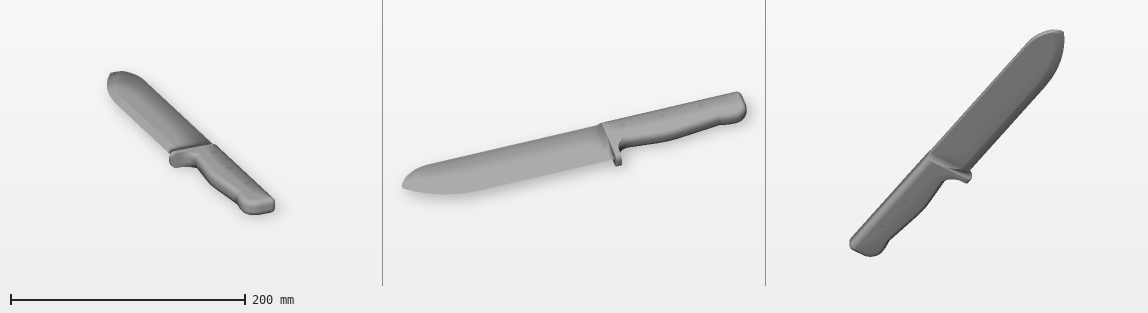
import cadquery as cq
import math


blade_length = 182.61
blade_width = 40.0
blade_thickness = 4.2
spine_nose_radius = 35.0
edge_nose_radius = 100.0
tip_height = 3.8
tip_depth = 18.3
edge_bevel_width = 8.0
tip_bevel_width = 4.8
shoulder_radius = 5.0
cutter_overshoot = 1.0

guard_thickness = 5.0
guard_depth = 45.0

handle_length = 125.0
handle_thickness = 14.0
edge_radius = 5.0
root_radius = 10.5
root_depth = 27.2
belly_start_x = 41.7
belly_end_x = 61.2
belly_slope = 0.108
finger_notch_x = 98.5
pommel_depth = 28.0
pommel_radius = 12.5

pin_diameter = 5.0
pin_recess_depth = 0.2
middle_pin_depth = 11.3
outer_pin_depth = 10.6
pin_spacing = 35.0
middle_pin_x = 51.5

half_blade = blade_thickness / 2
half_handle = handle_thickness / 2

edge_nose_center_y = edge_nose_radius - blade_width
tip_bottom_y = -tip_depth
tip_top_y = tip_bottom_y + tip_height
edge_nose_x = -blade_length + math.sqrt(edge_nose_radius**2 - (edge_nose_center_y - tip_bottom_y) ** 2)
spine_nose_x = -blade_length + math.sqrt(spine_nose_radius**2 - (spine_nose_radius + tip_top_y) ** 2)


def prism(outline, thickness):
    """Extrude a closed XY outline symmetrically about Z = 0."""
    return outline.extrude(thickness / 2, both=True)


def arc_middle(center, radius, start, end):
    """Point halfway along the short arc from start to end."""
    direction_x = (start[0] + end[0]) / 2 - center[0]
    direction_y = (start[1] + end[1]) / 2 - center[1]
    length = math.hypot(direction_x, direction_y)
    return (center[0] + radius * direction_x / length, center[1] + radius * direction_y / length)


def make_blade_blank():
    """Blade outline at full thickness, before the bevels."""
    spine_start = (spine_nose_x, 0)
    tip_top = (-blade_length, tip_top_y)
    tip_bottom = (-blade_length, tip_bottom_y)
    edge_start = (edge_nose_x, -blade_width)
    spine_center = (spine_nose_x, -spine_nose_radius)
    edge_center = (edge_nose_x, edge_nose_center_y)
    outline = (
        cq.Workplane("XY")
        .moveTo(0, 0)
        .lineTo(*spine_start)
        .threePointArc(arc_middle(spine_center, spine_nose_radius, spine_start, tip_top), tip_top)
        .lineTo(*tip_bottom)
        .threePointArc(arc_middle(edge_center, edge_nose_radius, tip_bottom, edge_start), edge_start)
        .lineTo(0, -blade_width)
        .close()
    )
    return prism(outline, blade_thickness)


def make_guard_section(start_x, length):
    """Rounded YZ section of the guard, extruded along +X."""
    return (
        cq.Workplane("YZ", origin=(start_x, -guard_depth / 2, 0))
        .rect(guard_depth, handle_thickness)
        .extrude(length)
        .edges("|X")
        .fillet(edge_radius)
    )


def make_shoulder():
    """Concave flare from the blade flats up to the full guard thickness."""
    reach = math.sqrt(shoulder_radius**2 - (shoulder_radius + half_blade - half_handle) ** 2)
    flare_angle = math.asin(reach / shoulder_radius) / 2
    middle_x = -reach + shoulder_radius * math.sin(flare_angle)
    middle_z = half_blade + shoulder_radius * (1 - math.cos(flare_angle))
    flare = (
        cq.Workplane("XZ")
        .moveTo(0, -half_handle)
        .threePointArc((middle_x, -middle_z), (-reach, -half_blade))
        .lineTo(-reach, half_blade)
        .threePointArc((middle_x, middle_z), (0, half_handle))
        .close()
        .extrude(blade_width)
    )
    return flare.intersect(make_guard_section(-reach, reach))


def bevel_section(plane, width):
    """Wedge removed by one bevel: local X runs inward from the cutting edge, local Y along Z.

    The slope carries on past the blade flat to the full handle thickness, so it also trims the shoulder.
    """
    rise_width = width * half_handle / half_blade
    corners = [
        (0, 0),
        (rise_width, half_handle),
        (-cutter_overshoot, half_handle),
        (-cutter_overshoot, 0),
    ]
    return plane.polyline(corners).close()


def cut_bevels(blade):
    """Grind the straight edge, the curved nose and the tip down to the mid-plane."""
    straight_plane = cq.Workplane("YZ", origin=(0, -blade_width, 0))
    straight = bevel_section(straight_plane, edge_bevel_width).extrude(edge_nose_x)

    nose_plane = cq.Workplane("YZ", origin=(edge_nose_x, -blade_width, 0))
    nose = bevel_section(nose_plane, edge_bevel_width).revolve(
        90, (edge_nose_radius, 0, 0), (edge_nose_radius, -1, 0)
    )

    tip_plane = cq.Workplane("XZ", origin=(-blade_length, 0, 0))
    tip = bevel_section(tip_plane, tip_bevel_width).extrude(blade_width)

    for cutter in (straight, nose, tip):
        blade = blade.cut(cutter).cut(cutter.mirror("XY"))
    return blade


def make_handle():
    """Grip with a rounded rim, a belly, a finger notch and a round pommel."""
    belly_middle_x = (belly_start_x + belly_end_x) / 2
    belly_half = (belly_end_x - belly_start_x) / 2
    root_end_x = guard_thickness + root_radius
    belly_depth = root_depth + belly_slope * (belly_start_x - root_end_x)
    belly_bulge = belly_half * math.tan(math.atan(belly_slope) / 2)
    notch_depth = belly_depth - belly_slope * (finger_notch_x - belly_end_x)
    pommel_x = handle_length - pommel_radius
    notch_run = pommel_x - finger_notch_x
    notch_drop = pommel_depth - notch_depth
    notch_arc_radius = (notch_run**2 + notch_drop**2) / (2 * notch_drop)
    outline = (
        cq.Workplane("XY")
        .moveTo(0, 0)
        .lineTo(0, -root_depth)
        .lineTo(root_end_x, -root_depth)
        .lineTo(belly_start_x, -belly_depth)
        .threePointArc((belly_middle_x, -belly_depth - belly_bulge), (belly_end_x, -belly_depth))
        .lineTo(finger_notch_x, -notch_depth)
        .radiusArc((pommel_x, -pommel_depth), -notch_arc_radius)
        .radiusArc((handle_length, pommel_radius - pommel_depth), -pommel_radius)
        .lineTo(handle_length, -edge_radius)
        .radiusArc((handle_length - edge_radius, 0), -edge_radius)
        .close()
    )
    body = prism(outline, handle_thickness)
    rim = body.faces("<Z or >Z").edges("not <X")
    return rim.fillet(edge_radius)


def make_guard_root():
    """Concave fillet between the guard and the rounded underside of the handle."""
    axis_y = edge_radius - root_depth
    flat_height = handle_thickness - 2 * edge_radius

    def profile(z):
        return (
            cq.Workplane("XY", origin=(guard_thickness, axis_y, z))
            .lineTo(root_radius, 0)
            .lineTo(root_radius, -edge_radius)
            .radiusArc((0, -edge_radius - root_radius), -root_radius)
            .close()
        )

    root = profile(-flat_height / 2).extrude(flat_height)
    for side in (-1, 1):
        root = root.union(profile(side * flat_height / 2).revolve(360, (0, 0, 0), (1, 0, 0)))
    slab = cq.Workplane("XY").box(2 * handle_length, 2 * guard_depth, handle_thickness)
    return root.intersect(slab)


def cut_pin_recesses(part):
    """Mark three pin heads on each side as shallow round recesses."""
    centers = [
        (middle_pin_x - pin_spacing, -outer_pin_depth),
        (middle_pin_x, -middle_pin_depth),
        (middle_pin_x + pin_spacing, -outer_pin_depth),
    ]
    recess = (
        cq.Workplane("XY", origin=(0, 0, half_handle - pin_recess_depth))
        .pushPoints(centers)
        .circle(pin_diameter / 2)
        .extrude(pin_recess_depth)
    )
    return part.cut(recess).cut(recess.mirror("XY"))


blade = cut_bevels(make_blade_blank().union(make_shoulder()))
handle = make_handle().union(make_guard_section(0, guard_thickness)).union(make_guard_root())
result = cut_pin_recesses(blade.union(handle))